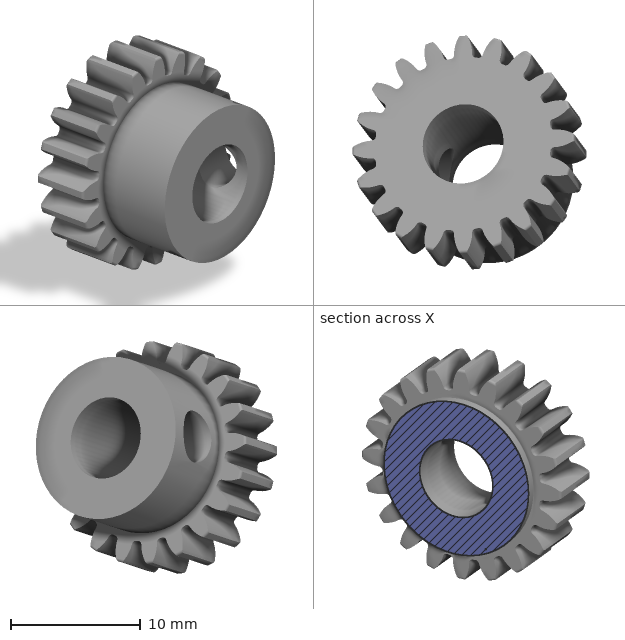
import cadquery as cq
import math


outside_diameter = 17.46
tooth_count = 20
pressure_angle = math.radians(20)
face_width = 4.77
overall_length = 11.1
hub_diameter = 12.7
bore_diameter = 6.35
set_screw_diameter = 4.05
tip_rounding = 0.2
root_thickness = 1.4
root_fillet = 0.31

addendum_factor = 1.0
dedendum_factor = 1.25

module = outside_diameter / (tooth_count + 2 * addendum_factor)
tip_radius = outside_diameter / 2
pitch_radius = module * tooth_count / 2
base_radius = pitch_radius * math.cos(pressure_angle)
root_radius = pitch_radius - dedendum_factor * module
tooth_pitch = 2 * math.pi / tooth_count

hub_length = overall_length - face_width
set_screw_x = face_width + hub_length / 2


def polar(radius, angle):
    """Point in the YZ plane at an angle measured from +Y."""
    return (radius * math.cos(angle), radius * math.sin(angle))


def involute(angle):
    """Roll-off angle of an involute at a pressure angle."""
    return math.tan(angle) - angle


def half_tooth_angle(radius):
    """Half the angle that a tooth spans at a radius on its involute."""
    at_pitch = math.pi / (2 * tooth_count)
    return at_pitch + involute(pressure_angle) - involute(math.acos(base_radius / radius))


def gear_outline():
    """Closed outline of all teeth.

    Each flank is one arc through the involute at the tip and pitch circles,
    carried on down to the root circle.
    """
    tip_angle = half_tooth_angle(tip_radius)
    pitch_angle = half_tooth_angle(pitch_radius)
    root_angle = math.asin(root_thickness / 2 / root_radius)

    outline = cq.Workplane("YZ").moveTo(*polar(root_radius, -root_angle))
    for tooth in range(tooth_count):
        center = tooth * tooth_pitch
        next_center = center + tooth_pitch
        outline = (
            outline.threePointArc(
                polar(pitch_radius, center - pitch_angle),
                polar(tip_radius, center - tip_angle),
            )
            .threePointArc(
                polar(tip_radius, center),
                polar(tip_radius, center + tip_angle),
            )
            .threePointArc(
                polar(pitch_radius, center + pitch_angle),
                polar(root_radius, center + root_angle),
            )
            .threePointArc(
                polar(root_radius, center + tooth_pitch / 2),
                polar(root_radius, next_center - root_angle),
            )
        )
    return outline.close()


def is_root_corner(edge):
    """True for an edge where a tooth flank meets the root circle."""
    middle = edge.Center()
    return math.hypot(middle.y, middle.z) < (root_radius + base_radius) / 2


def make_gear():
    """Toothed disc with filleted roots and tooth tips rounded at both faces."""
    teeth = gear_outline().extrude(face_width)
    root_corners = [edge for edge in teeth.edges("|X").vals() if is_root_corner(edge)]
    teeth = teeth.newObject(root_corners).fillet(root_fillet)
    rounded_blank = cq.Workplane("YZ").circle(tip_radius).extrude(face_width)
    rounded_blank = rounded_blank.edges("%CIRCLE").fillet(tip_rounding)
    return teeth.intersect(rounded_blank)


hub = cq.Workplane("YZ").workplane(offset=face_width).circle(hub_diameter / 2).extrude(hub_length)
bore = cq.Workplane("YZ").circle(bore_diameter / 2).extrude(overall_length)

set_screw_hole = (
    cq.Workplane("XZ")
    .center(set_screw_x, 0)
    .circle(set_screw_diameter / 2)
    .extrude(-hub_diameter / 2)
)

result = make_gear().union(hub).cut(set_screw_hole).cut(bore)